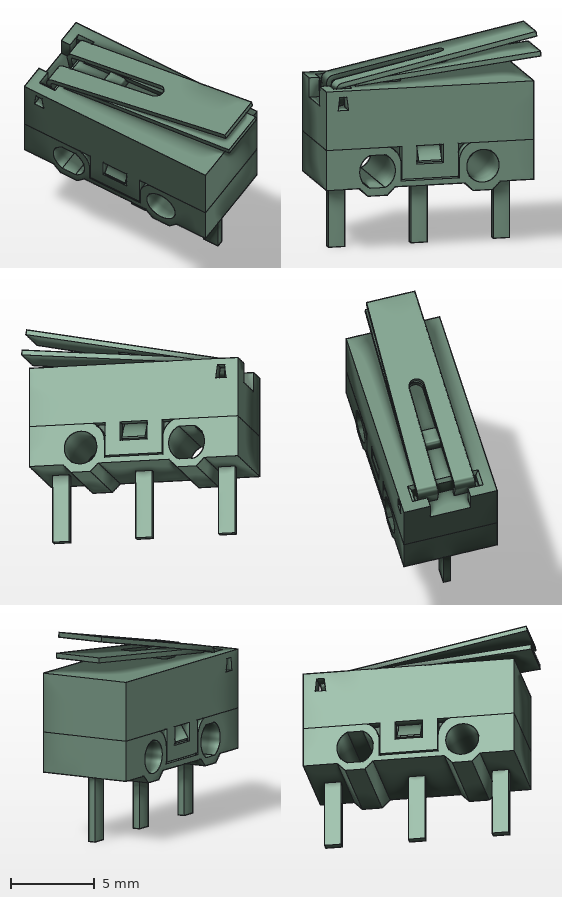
import cadquery as cq
import math


overall_length = 13.6
case_length = 12.8
case_width = 5.8
base_height = 2.45
case_height = 6.02
case_left = -case_length / 2

hole_diameter = 2.0
hole_offset = 3.25
hole_height = hole_diameter / 2
wide_hole_diameter = 2.2
foot_drop = 0.49
foot_half_width = 1.09

tab_thickness = 0.6
tab_half_width = 1.74
tab_bottom = 0.44
pocket_half_width = 1.8
pocket_bottom = 0.34
pocket_flare_radius = 1.2
pocket_flare_height = 1.36
window_half_width = 0.83
window_bottom = 1.32
hook_half_width = 0.71
hook_bottom = 1.41
hook_ramp_bottom = 1.51

recess_left = case_left + 0.63
recess_right = case_left + 1.52
recess_half_width = 1.99
recess_depth = 1.18
recess_chamfer = 0.2
notch_width = 2.5
recess_floor = case_height - recess_depth

ear_window_top = case_height - 0.38
ear_window_top_left = case_left + 0.82
ear_window_top_right = case_left + 1.25
ear_window_bottom_left = case_left + 0.72
ear_window_bottom_right = case_left + 1.36

terminal_pitch = 5.09
terminal_width = 1.0
terminal_thickness = 0.45
terminal_length = 4.08

plunger_center = -1.9
plunger_length = 1.24
plunger_width = 2.0
plunger_height = 0.5
plunger_radius = 0.3
plunger_end_radius = 0.49

pivot_x = case_left + 1.13
pivot_z = case_height - 0.78
free_angle = 11.5
pressed_angle = 5.8
sheet = 0.3
arm_top = 0.98
arm_bottom = arm_top - sheet
arm_reach = (
    (case_left + overall_length - pivot_x) / math.cos(math.radians(pressed_angle))
    + arm_bottom * math.tan(math.radians(pressed_angle))
)
bend_radius = 0.5
hinge_half_width = 1.78
tip_half_width = 1.5
ear_top = 0.33
ear_bottom = -0.35
ear_corner_radius = 0.65
ear_reach = 2.28
leg_gap_half_width = 0.52
slot_end_radius = 0.46
slot_end = 7.15
pressed_arm_start = 1.03


def block(x_min, x_max, width, z_min, z_max):
    """Box centred on Y = 0."""
    return (
        cq.Workplane("XY", origin=(0, 0, z_min))
        .moveTo((x_min + x_max) / 2, 0)
        .rect(x_max - x_min, width)
        .extrude(z_max - z_min)
    )


def side_plane():
    """XZ workplane on the front face of the case; a negative extrusion goes into the case."""
    return cq.Workplane("XZ", origin=(0, -case_width / 2, 0))


def on_both_sides(front_feature):
    """The front feature together with its mirror image on the back."""
    return front_feature.union(front_feature.mirror("XZ"))


def foot(x):
    """Trapezoidal foot below a mounting hole, across the full width."""
    lower_half_width = foot_half_width - foot_drop
    return (
        side_plane()
        .moveTo(x - foot_half_width, 0)
        .lineTo(x - lower_half_width, -foot_drop)
        .lineTo(x + lower_half_width, -foot_drop)
        .lineTo(x + foot_half_width, 0)
        .close()
        .extrude(-case_width)
    )


def mounting_holes():
    """Wide hole with a flat top and bottom on the left, round hole on the right."""
    flats = block(case_left, 0, case_width, 0, hole_diameter)
    wide_hole = (
        side_plane()
        .center(-hole_offset, hole_height)
        .circle(wide_hole_diameter / 2)
        .extrude(-case_width)
        .intersect(flats)
    )
    round_hole = (
        side_plane()
        .center(hole_offset, hole_height)
        .circle(hole_diameter / 2)
        .extrude(-case_width)
    )
    return wide_hole.union(round_hole)


def tab_pocket():
    """Pocket in the base side that flares out in an arc towards the seam."""
    seam_angle = math.asin((base_height - pocket_flare_height) / pocket_flare_radius)

    def flare_point(angle):
        x = pocket_half_width + pocket_flare_radius * (1 - math.cos(angle))
        return x, pocket_flare_height + pocket_flare_radius * math.sin(angle)

    middle_x, middle_z = flare_point(seam_angle / 2)
    seam_x, seam_z = flare_point(seam_angle)
    return (
        side_plane()
        .moveTo(-pocket_half_width, pocket_bottom)
        .lineTo(pocket_half_width, pocket_bottom)
        .lineTo(pocket_half_width, pocket_flare_height)
        .threePointArc((middle_x, middle_z), (seam_x, seam_z))
        .lineTo(-seam_x, seam_z)
        .threePointArc((-middle_x, middle_z), (-pocket_half_width, pocket_flare_height))
        .close()
        .extrude(-tab_thickness)
    )


def snap_hook():
    """Ramped hook that stands in the tab window, flush with the case side."""
    outer_y = -case_width / 2
    inner_y = outer_y + tab_thickness
    return (
        cq.Workplane("YZ", origin=(-hook_half_width, 0, 0))
        .moveTo(inner_y, hook_bottom)
        .lineTo(outer_y, hook_bottom)
        .lineTo(outer_y, hook_ramp_bottom)
        .lineTo(inner_y, base_height)
        .close()
        .extrude(2 * hook_half_width)
    )


def make_base():
    body = block(case_left, -case_left, case_width, 0, base_height)
    for x in (-hole_offset, hole_offset):
        body = body.union(foot(x))
    body = body.cut(mounting_holes())
    body = body.cut(on_both_sides(tab_pocket()))
    return body.union(on_both_sides(snap_hook()))


def snap_tab():
    """Tab that hangs below the seam, with a window for the hook."""
    tab = (
        side_plane()
        .moveTo(0, (tab_bottom + base_height) / 2)
        .rect(2 * tab_half_width, base_height - tab_bottom)
        .extrude(-tab_thickness)
    )
    window = (
        side_plane()
        .moveTo(0, (window_bottom + base_height) / 2)
        .rect(2 * window_half_width, base_height - window_bottom)
        .extrude(-tab_thickness)
    )
    return tab.cut(window)


def hinge_recess():
    """Recess for the lever legs, chamfered on three sides and open at the left end."""
    well = block(recess_left, recess_right, 2 * recess_half_width, recess_floor, case_height)
    bevel = (
        cq.Workplane("XY", origin=(0, 0, case_height))
        .moveTo((recess_left + recess_right) / 2, 0)
        .rect(
            recess_right - recess_left + 2 * recess_chamfer,
            2 * (recess_half_width + recess_chamfer),
        )
        .extrude(-recess_chamfer, taper=45)
        .intersect(block(recess_left, 0, case_width, recess_floor, case_height))
    )
    notch = block(case_left, recess_right, notch_width, recess_floor, case_height)
    return well.union(bevel).union(notch)


def ear_windows():
    """Tapered opening through both side walls at the hinge recess."""
    return (
        side_plane()
        .moveTo(ear_window_bottom_left, recess_floor)
        .lineTo(ear_window_bottom_right, recess_floor)
        .lineTo(ear_window_top_right, ear_window_top)
        .lineTo(ear_window_top_left, ear_window_top)
        .close()
        .extrude(-case_width)
    )


def make_cover():
    body = block(case_left, -case_left, case_width, base_height, case_height)
    body = body.union(on_both_sides(snap_tab()))
    return body.cut(hinge_recess()).cut(ear_windows())


def make_terminal(x):
    half_width = terminal_width / 2
    return block(x - half_width, x + half_width, terminal_thickness, -terminal_length, 0)


def make_plunger(arm):
    """Plunger rounded on every exposed edge, notched where the prongs of the arm press on it."""
    half_length = plunger_length / 2
    body = block(
        plunger_center - half_length,
        plunger_center + half_length,
        plunger_width,
        case_height,
        case_height + plunger_height,
    )
    body = body.edges("|X and >Z").fillet(plunger_end_radius)
    body = body.faces("<X or >X").edges("not <Z").fillet(plunger_radius)
    return body.cut(arm)


def place_on_pivot(part, angle):
    """Tip the part up by the angle about the pivot and move it to the hinge."""
    return part.rotate((0, 0, 0), (0, 1, 0), -angle).translate((pivot_x, 0, pivot_z))


def arm_plan():
    """Tapered plan of the arm, as a tall prism to trim the sheet with."""
    straight = bend_radius - sheet / 2
    half_prism_height = 2 * arm_top
    return (
        cq.Workplane("XY")
        .moveTo(-sheet, -hinge_half_width)
        .lineTo(straight, -hinge_half_width)
        .lineTo(arm_reach, -tip_half_width)
        .lineTo(arm_reach, tip_half_width)
        .lineTo(straight, hinge_half_width)
        .lineTo(-sheet, hinge_half_width)
        .close()
        .extrude(half_prism_height, both=True)
    )


def arm_slot():
    """Slot between the two legs, tapering to a round end along the arm."""
    round_center = slot_end - slot_end_radius
    half_prism_height = 2 * arm_top
    return (
        cq.Workplane("XY")
        .moveTo(-sheet, -leg_gap_half_width)
        .lineTo(round_center, -slot_end_radius)
        .threePointArc((slot_end, 0), (round_center, slot_end_radius))
        .lineTo(-sheet, leg_gap_half_width)
        .close()
        .extrude(half_prism_height, both=True)
    )


def hinge_ears():
    """Bar along the pivot whose ends reach into the ear windows, rounded underneath."""
    return (
        cq.Workplane("YZ", origin=(-sheet / 2, 0, 0))
        .moveTo(0, (ear_top + ear_bottom) / 2)
        .rect(2 * ear_reach, ear_top - ear_bottom)
        .extrude(sheet)
        .edges("|X and <Z")
        .fillet(ear_corner_radius)
    )


def make_lever():
    inner_radius = bend_radius - sheet
    bend_center = bend_radius - sheet / 2
    bend_center_rise = arm_top - bend_radius
    diagonal = math.sqrt(0.5)
    sheet_strip = (
        cq.Workplane("XZ", origin=(0, hinge_half_width, 0))
        .moveTo(-sheet / 2, ear_bottom)
        .lineTo(-sheet / 2, bend_center_rise)
        .threePointArc(
            (bend_center - bend_radius * diagonal, bend_center_rise + bend_radius * diagonal),
            (bend_center, arm_top),
        )
        .lineTo(arm_reach, arm_top)
        .lineTo(arm_reach, arm_bottom)
        .lineTo(bend_center, arm_bottom)
        .threePointArc(
            (bend_center - inner_radius * diagonal, bend_center_rise + inner_radius * diagonal),
            (sheet / 2, bend_center_rise),
        )
        .lineTo(sheet / 2, ear_bottom)
        .close()
        .extrude(2 * hinge_half_width)
    )
    lever = sheet_strip.intersect(arm_plan()).union(hinge_ears()).cut(arm_slot())
    return place_on_pivot(lever, free_angle)


def make_pressed_arm():
    """Arm at the pressed angle, wedged off where it lies against the underside of the free lever."""
    spread = math.radians(free_angle - pressed_angle)

    def free_underside(along):
        return arm_bottom / math.cos(spread) + along * math.tan(spread)

    wedge_end = (arm_top - free_underside(0)) / math.tan(spread)
    arm = (
        cq.Workplane("XZ", origin=(0, hinge_half_width, 0))
        .moveTo(pressed_arm_start, arm_bottom)
        .lineTo(arm_reach, arm_bottom)
        .lineTo(arm_reach, arm_top)
        .lineTo(wedge_end, arm_top)
        .lineTo(pressed_arm_start, free_underside(pressed_arm_start))
        .close()
        .extrude(2 * hinge_half_width)
        .intersect(arm_plan())
        .cut(arm_slot())
    )
    return place_on_pivot(arm, pressed_angle)


base = make_base()
cover = make_cover()
terminals = [make_terminal(x) for x in (-terminal_pitch, 0, terminal_pitch)]
lever = make_lever()
pressed_arm = make_pressed_arm()
plunger = make_plunger(pressed_arm)

result = cq.Compound.makeCompound([
    base.val(),
    cover.val(),
    *[terminal.val() for terminal in terminals],
    plunger.val(),
    lever.val(),
    pressed_arm.val(),
])